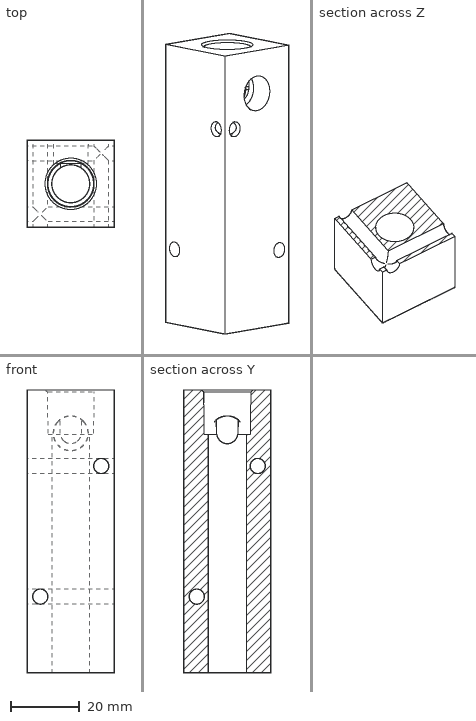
import cadquery as cq

SIDE = 25.4
LENGTH = 82.55

RADIUS_TAPER = 1 / 64

BORE_DIAMETER = 11.0
TOP_PORT_DIAMETER = 13.7
TOP_PORT_DEPTH = 13.0
TOP_PORT_MOUTH_DIAMETER = 15.0

SIDE_PORT_DIAMETER = 10.25
SIDE_PORT_DEPTH = 6.8
SIDE_PORT_DRILL_DIAMETER = 6.0
SIDE_PORT_DROP = 12.7

CROSS_HOLE_DIAMETER = 4.35
CROSS_HOLE_OFFSET = 8.89
CROSS_HOLE_SPACING = 38.1


def cone_below_face(face_diameter, end_diameter, depth):
    """Cone around Z whose face end lies at Z = 0 and whose other end is at the given depth."""
    cone = cq.Solid.makeCone(end_diameter / 2, face_diameter / 2, depth)
    return cq.Workplane(cone).translate((0, 0, -depth))


def tapered_port(face_diameter, depth):
    """Port cutter that narrows from a face at Z = 0."""
    end_diameter = face_diameter - 2 * depth * RADIUS_TAPER
    return cone_below_face(face_diameter, end_diameter, depth)


def top_port():
    """Tapered port with a 45 degree chamfer at its mouth."""
    chamfer_depth = (TOP_PORT_MOUTH_DIAMETER - TOP_PORT_DIAMETER) / 2
    chamfer = cone_below_face(TOP_PORT_MOUTH_DIAMETER, TOP_PORT_DIAMETER, chamfer_depth)
    port = tapered_port(TOP_PORT_DIAMETER, TOP_PORT_DEPTH).union(chamfer)
    return port.translate((0, 0, LENGTH / 2))


def side_port():
    """Tapered port on the +Y face, with a plain drill hole reaching the main bore axis."""
    drill = cq.Workplane("XY").circle(SIDE_PORT_DRILL_DIAMETER / 2).extrude(-SIDE / 2)
    port = tapered_port(SIDE_PORT_DIAMETER, SIDE_PORT_DEPTH).union(drill)
    port = port.rotate((0, 0, 0), (1, 0, 0), -90)
    return port.translate((0, SIDE / 2, LENGTH / 2 - SIDE_PORT_DROP))


def main_bore():
    """Plain bore through the full length."""
    return cq.Workplane("XY").circle(BORE_DIAMETER / 2).extrude(LENGTH, both=True)


def cross_holes(plane):
    """Two through holes normal to the plane, diagonally opposite each other."""
    upper = (CROSS_HOLE_OFFSET, CROSS_HOLE_SPACING / 2)
    lower = (-CROSS_HOLE_OFFSET, -CROSS_HOLE_SPACING / 2)
    return (
        cq.Workplane(plane)
        .pushPoints([upper, lower])
        .circle(CROSS_HOLE_DIAMETER / 2)
        .extrude(SIDE, both=True)
    )


result = cq.Workplane("XY").box(SIDE, SIDE, LENGTH)
result = result.cut(main_bore()).cut(top_port()).cut(side_port())
for hole_plane in ("XZ", "YZ"):
    result = result.cut(cross_holes(hole_plane))